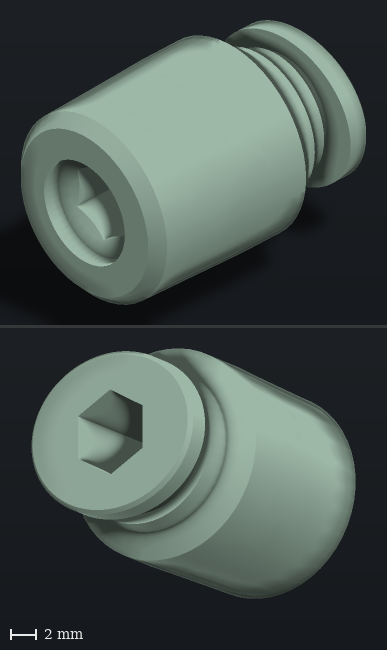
import cadquery as cq
import math

LENGTH = 23.7

BODY_DIA = 17.0
BODY_TIP_DIA = 16.33
TIP_CHAMFER = 1.05
TAPER_END = 12.0
SHOULDER_START = 15.88
SHOULDER_ANGLE = 60.0

COLLAR_DIA = 13.05
COLLAR_RIM = 0.5
COLLAR_END_DIA = 12.58
COLLAR_END = 18.98

SLEEVE_DIA = 11.0
SLEEVE_END = 20.78
NECK_DIA = 9.7
NECK_FLARE = 0.07

BUTTON_WIDTH = 15.03
BUTTON_HEIGHT = 13.05
BUTTON_THICKNESS = 2.01
BUTTON_CHAMFER = 0.3

RECESS_DIA = 9.0
RECESS_DEPTH = 1.5
DRILL_POINT_ANGLE = 120.0
HEX_FLATS = 5.97
HEX_SIDES = 6


def revolve_about_y(points):
    """Solid of revolution about Y from (radius, y) points."""
    return cq.Workplane("XY").polyline(points).close().revolve(360, (0, 0, 0), (0, 1, 0))


def make_body():
    """Stepped and tapered outside, from the open end back to the button."""
    body_radius = BODY_DIA / 2
    tip_radius = BODY_TIP_DIA / 2
    collar_radius = COLLAR_DIA / 2
    shoulder_length = (body_radius - collar_radius) / math.tan(math.radians(SHOULDER_ANGLE))
    collar_start = SHOULDER_START + shoulder_length
    neck_end = LENGTH - BUTTON_THICKNESS
    return revolve_about_y([
        (0, 0),
        (tip_radius - TIP_CHAMFER, 0),
        (tip_radius, TIP_CHAMFER),
        (body_radius, TAPER_END),
        (body_radius, SHOULDER_START),
        (collar_radius, collar_start),
        (collar_radius, collar_start + COLLAR_RIM),
        (COLLAR_END_DIA / 2, COLLAR_END),
        (SLEEVE_DIA / 2, COLLAR_END),
        (SLEEVE_DIA / 2, SLEEVE_END),
        (NECK_DIA / 2, SLEEVE_END),
        (NECK_DIA / 2, neck_end - NECK_FLARE),
        (NECK_DIA / 2 + NECK_FLARE, neck_end),
        (0, neck_end),
    ])


def make_button():
    """Elliptical disc, chamfered on its outer end."""
    return (
        cq.Workplane("XZ", origin=(0, LENGTH, 0))
        .ellipse(BUTTON_WIDTH / 2, BUTTON_HEIGHT / 2)
        .extrude(BUTTON_THICKNESS)
        .faces(">Y")
        .chamfer(BUTTON_CHAMFER)
    )


def make_recess():
    """Straight-walled drilled hole ending in a drill point."""
    radius = RECESS_DIA / 2
    point_length = radius / math.tan(math.radians(DRILL_POINT_ANGLE / 2))
    return revolve_about_y([
        (0, 0),
        (radius, 0),
        (radius, RECESS_DEPTH),
        (0, RECESS_DEPTH + point_length),
    ])


def make_hex_hole():
    """Hexagonal hole through the whole length, with corners at the top and bottom."""
    corner_dia = HEX_FLATS / math.cos(math.pi / HEX_SIDES)
    return (
        cq.Workplane("XZ")
        .transformed(rotate=(0, 0, 90))
        .polygon(HEX_SIDES, corner_dia)
        .extrude(-LENGTH)
    )


result = make_body().union(make_button()).cut(make_recess()).cut(make_hex_hole())